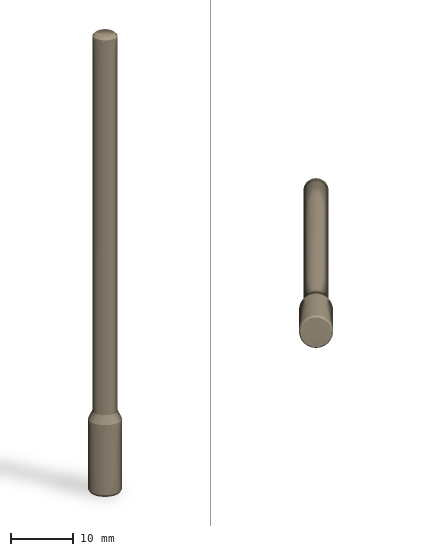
import cadquery as cq

total_length = 80.0
rod_diameter = 4.0
head_diameter = 5.4

head_length = 14.1
cone_height = 1.4
foot_chamfer_height = 0.4
foot_chamfer_width = 0.2

rod_top_chamfer = 0.4
rod_length = total_length - head_length


def make_head():
    """Cylindrical head with a chamfered foot and a conical shoulder."""
    head_radius = head_diameter / 2
    profile = (
        cq.Workplane("XZ")
        .moveTo(0, 0)
        .lineTo(head_radius - foot_chamfer_width, 0)
        .lineTo(head_radius, foot_chamfer_height)
        .lineTo(head_radius, head_length - cone_height)
        .lineTo(rod_diameter / 2, head_length)
        .lineTo(0, head_length)
        .close()
    )
    return profile.revolve(360, (0, 0, 0), (0, 1, 0))


def make_rod():
    """Long round rod with a chamfered free end."""
    return (
        cq.Workplane("XY")
        .workplane(offset=head_length)
        .circle(rod_diameter / 2)
        .extrude(rod_length)
        .faces(">Z")
        .chamfer(rod_top_chamfer)
    )


head = make_head()
rod = make_rod()

result = cq.Compound.makeCompound([head.val(), rod.val()])